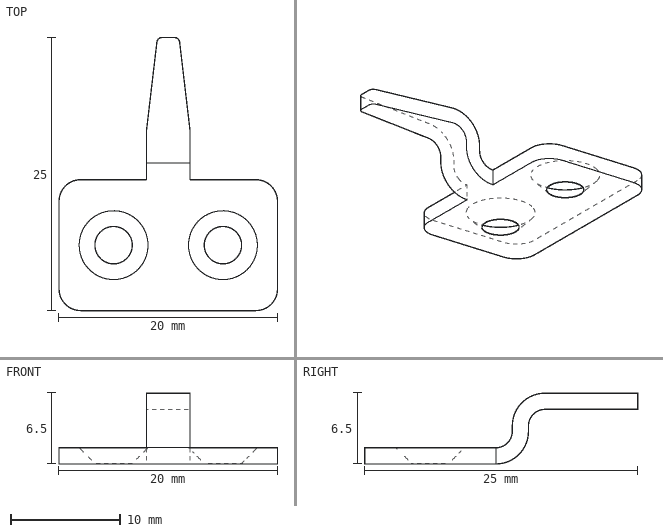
import cadquery as cq

plate_length = 20.0
plate_width = 12.0
thickness = 1.5
corner_radius = 2.0

hole_spacing = 10.0
hole_diameter = 3.4
countersink_diameter = 6.3
countersink_angle = 90.0

total_width = 25.0
total_height = 6.5
tongue_width = 4.0
tip_width = 2.0
tip_radius = 0.5
inner_bend = 1.5
outer_bend = inner_bend + thickness

plate_edge = plate_width / 2
tip_y = total_width - plate_edge
riser_inner_y = plate_edge + inner_bend
riser_outer_y = riser_inner_y + thickness
upper_bend_y = riser_inner_y + outer_bend
lower_bend_z = outer_bend
upper_bend_z = total_height - outer_bend
blade_bottom = total_height - thickness


def make_plate():
    """Rounded rectangle with two countersunk holes, centred on the origin."""
    plate = (
        cq.Workplane("XY")
        .rect(plate_length, plate_width)
        .extrude(thickness)
        .edges("|Z")
        .fillet(corner_radius)
    )
    return (
        plate.faces(">Z")
        .workplane()
        .pushPoints([(-hole_spacing / 2, 0), (hole_spacing / 2, 0)])
        .cskHole(hole_diameter, countersink_diameter, countersink_angle)
    )


def make_crank():
    """S-shaped strip rising from the plate edge to the blade."""
    return (
        cq.Workplane("YZ")
        .moveTo(plate_edge, 0)
        .radiusArc((riser_outer_y, lower_bend_z), -outer_bend)
        .lineTo(riser_outer_y, upper_bend_z)
        .radiusArc((upper_bend_y, blade_bottom), inner_bend)
        .lineTo(upper_bend_y, total_height)
        .radiusArc((riser_inner_y, upper_bend_z), -outer_bend)
        .lineTo(riser_inner_y, lower_bend_z)
        .radiusArc((plate_edge, thickness), inner_bend)
        .close()
        .extrude(tongue_width / 2, both=True)
    )


def make_blade():
    """Flat tapered end of the tongue with a rounded tip."""
    return (
        cq.Workplane("XY")
        .workplane(offset=blade_bottom)
        .moveTo(-tongue_width / 2, upper_bend_y)
        .lineTo(tongue_width / 2, upper_bend_y)
        .lineTo(tip_width / 2, tip_y)
        .lineTo(-tip_width / 2, tip_y)
        .close()
        .extrude(thickness)
        .edges("|Z and >Y")
        .fillet(tip_radius)
    )


result = make_plate().union(make_crank()).union(make_blade())